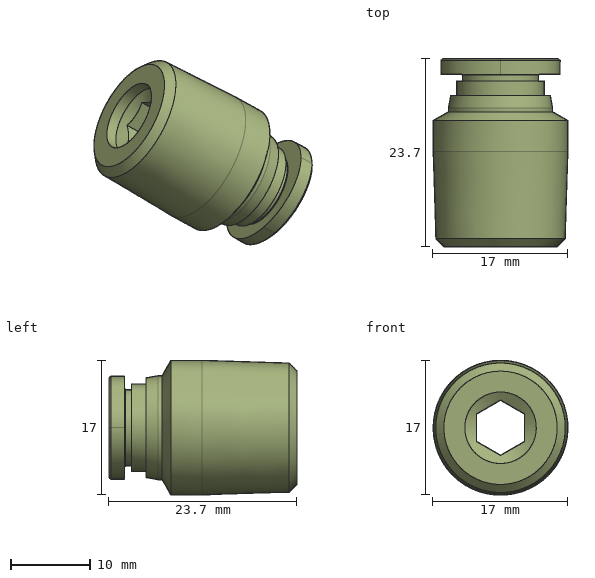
import cadquery as cq
import math

length = 23.7

sleeve_diameter = 17.0
sleeve_radius = sleeve_diameter / 2
sleeve_front_radius = 8.15
front_chamfer = 1.02
taper_end_y = 12.0
shoulder_start_y = 15.9
shoulder_end_y = 17.0

collar_radius = 6.56
collar_end_radius = 6.28
collar_taper_y = 17.5
collar_end_y = 19.05
ring_radius = 5.52
ring_end_y = 20.85
neck_radius = 4.8
neck_end_y = 21.61
root_radius = 4.85

flange_width = 14.98
flange_height = 12.96
flange_start_y = 21.7
flange_chamfer = 0.25
flange_draft = 1.0

socket_radius = 4.5
socket_depth = 1.45
cone_half_angle = 60.0
cone_length = socket_radius / math.tan(math.radians(cone_half_angle))
hex_across_flats = 6.0


def revolve_profile(points):
    """Revolve (y, radius) points around the Y axis."""
    return cq.Workplane("YZ").polyline(points).close().revolve(360, (0, 0, 0), (1, 0, 0))


def stepped_body():
    """Sleeve, shoulder, collar, ring, neck and root as one turned body."""
    return revolve_profile([
        (0, 0),
        (0, sleeve_front_radius - front_chamfer),
        (front_chamfer, sleeve_front_radius),
        (taper_end_y, sleeve_radius),
        (shoulder_start_y, sleeve_radius),
        (shoulder_end_y, collar_radius),
        (collar_taper_y, collar_radius),
        (collar_end_y, collar_end_radius),
        (collar_end_y, ring_radius),
        (ring_end_y, ring_radius),
        (ring_end_y, neck_radius),
        (neck_end_y, neck_radius),
        (neck_end_y, root_radius),
        (length, root_radius),
        (length, 0),
    ])


def flange():
    """Elliptical plate with its rear rim chamfered."""
    plate = (
        cq.Workplane("XZ", origin=(0, flange_start_y, 0))
        .ellipse(flange_width / 2, flange_height / 2)
        .extrude(flange_start_y - length, taper=-flange_draft)
    )
    return plate.faces(">Y").chamfer(flange_chamfer)


def socket():
    """Round counterbore that ends in a drill-point cone."""
    return revolve_profile([
        (0, 0),
        (0, socket_radius),
        (socket_depth, socket_radius),
        (socket_depth + cone_length, 0),
    ])


def hex_hole():
    """Through hole with two corners pointing up and down along Z."""
    return (
        cq.Workplane("XZ")
        .polygon(6, hex_across_flats, circumscribed=True)
        .extrude(-length)
    )


result = stepped_body().union(flange()).cut(socket()).cut(hex_hole())